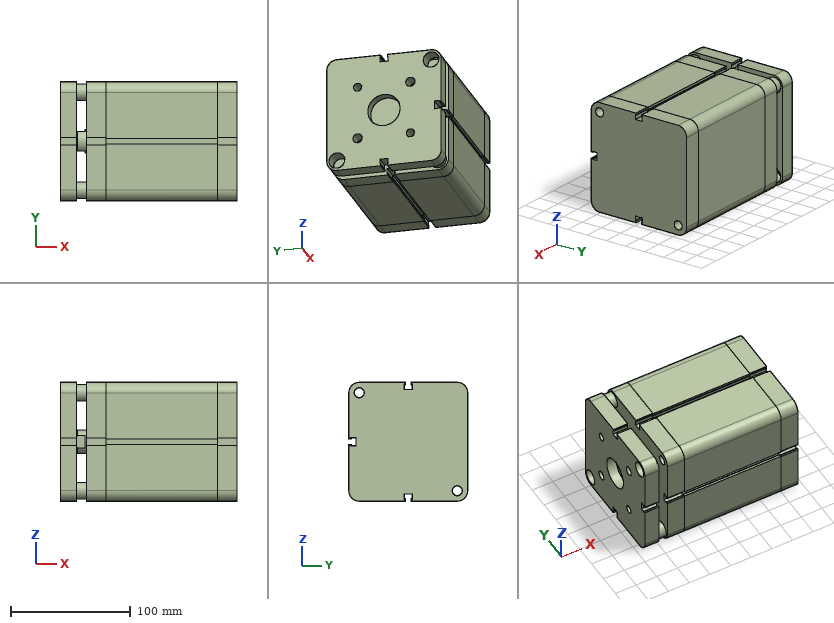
import cadquery as cq

total_length = 148.5
side = 100.0
corner_radius = 8.9

plate_thickness = 13.8
plate_gap = 8.0
cap_length = 16.5
front_cap_start = plate_thickness + plate_gap
barrel_start = front_cap_start + cap_length
rear_cap_start = total_length - cap_length
barrel_length = rear_cap_start - barrel_start

slot_depth = 6.0
end_slot = (6.0, 7.0, 2.0)
barrel_slot = (4.9, 6.0, 2.5)
slot_angles = (0, 90, 180)

corner_offset = 41.1
mounting_corners = [(-corner_offset, corner_offset), (corner_offset, -corner_offset)]
guide_corners = [(corner_offset, corner_offset), (-corner_offset, -corner_offset)]
mounting_hole_diameter = 8.2
access_hole_diameter = 13.7
guide_rod_diameter = 14.3

attachment_offset = 23.0
pin_hole_diameter = 8.0
thread_hole_diameter = 7.0
pin_hole_places = [(-attachment_offset, attachment_offset), (attachment_offset, -attachment_offset)]
thread_hole_places = [(attachment_offset, attachment_offset), (-attachment_offset, -attachment_offset)]
center_recess_diameter = 28.0
center_recess_depth = 8.9

piston_rod_diameter = 19.9
rod_chamfer = 0.6
across_flats = 16.8
flat_length = 7.0


def cross_plane(x):
    """Plane across the cylinder at x; local axes are global Y and Z."""
    return cq.Workplane("YZ", origin=(x, 0, 0))


def cylinders(x, length, diameter, places):
    """Round bars along X starting at x, centered on the given (Y, Z) places."""
    return cross_plane(x).pushPoints(places).circle(diameter / 2).extrude(length)


def slot_cutters(x, length, slot):
    """Undercut slots along X, open on the +Z, -Y and -Z sides."""
    mouth_width, undercut_width, lip_depth = slot
    face = side / 2
    mouth = cross_plane(x).center(0, face - lip_depth / 2).rect(mouth_width, lip_depth).extrude(length)
    undercut_depth = slot_depth - lip_depth
    undercut_center = face - lip_depth - undercut_depth / 2
    undercut = cross_plane(x).center(0, undercut_center).rect(undercut_width, undercut_depth).extrude(length)
    top_slot = mouth.union(undercut)
    cutters = cq.Workplane()
    for angle in slot_angles:
        cutters = cutters.add(top_slot.rotate((0, 0, 0), (1, 0, 0), angle).val())
    return cutters.combine()


def slotted_block(x, length, slot):
    """Square block with rounded long edges and sensor slots."""
    block = cross_plane(x).rect(side, side).extrude(length).edges("|X").fillet(corner_radius)
    return block.cut(slot_cutters(x, length, slot))


def housing_section(x, length, slot):
    """Slotted block pierced by the two mounting holes."""
    holes = cylinders(x, length, mounting_hole_diameter, mounting_corners)
    return slotted_block(x, length, slot).cut(holes)


def make_yoke():
    """Yoke plate with its two guide rods, which reach to the front cap."""
    plate = slotted_block(0, plate_thickness, end_slot)
    plate = plate.cut(cylinders(0, plate_thickness, access_hole_diameter, mounting_corners))
    plate = plate.cut(cylinders(0, plate_thickness, pin_hole_diameter, pin_hole_places))
    plate = plate.cut(cylinders(0, plate_thickness, thread_hole_diameter, thread_hole_places))
    plate = plate.cut(cylinders(0, center_recess_depth, center_recess_diameter, [(0, 0)]))
    return plate.union(cylinders(plate_thickness, plate_gap, guide_rod_diameter, guide_corners))


def make_piston_rod():
    """Piston rod between plate and front cap, chamfered at the plate, with two wrench flats."""
    rod = cylinders(plate_thickness, plate_gap, piston_rod_diameter, [(0, 0)])
    rod = rod.faces("<X").chamfer(rod_chamfer)
    flat_stock = cross_plane(plate_thickness).rect(across_flats, piston_rod_diameter).extrude(flat_length)
    collar_length = plate_gap - flat_length
    collar = cylinders(plate_thickness + flat_length, collar_length, piston_rod_diameter, [(0, 0)])
    return rod.intersect(flat_stock.union(collar))


yoke = make_yoke()
piston_rod = make_piston_rod()
front_cap = housing_section(front_cap_start, cap_length, end_slot)
barrel = housing_section(barrel_start, barrel_length, barrel_slot)
rear_cap = housing_section(rear_cap_start, cap_length, end_slot)

result = cq.Compound.makeCompound(
    [yoke.val(), piston_rod.val(), front_cap.val(), barrel.val(), rear_cap.val()]
)